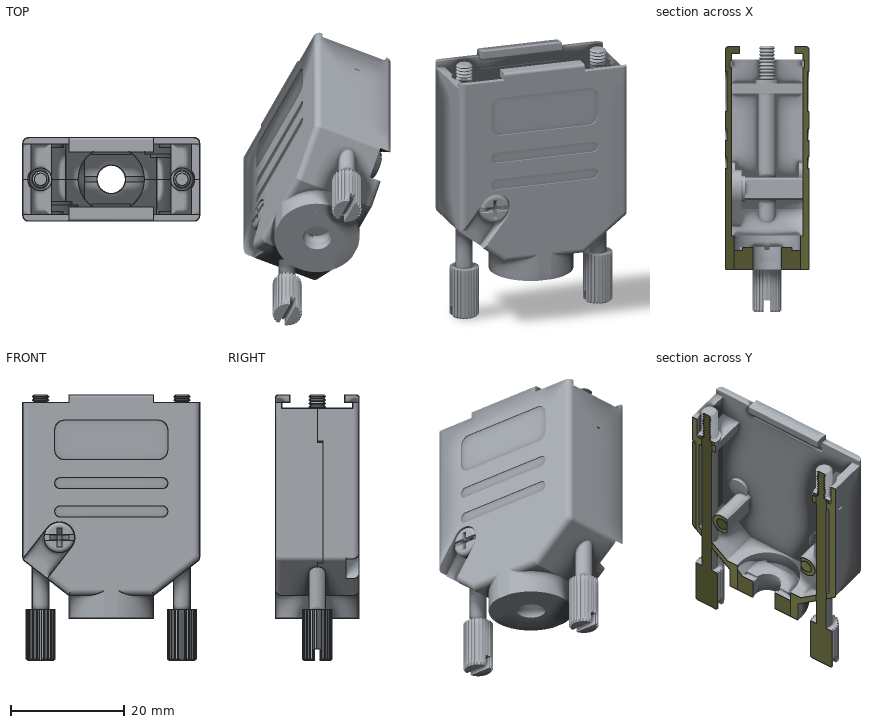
import cadquery as cq
import math


HALF_WIDTH = 15.65
HALF_DEPTH = 7.4
RIM_Z = 38.2
SHOULDER_Z = 10.4
BASE_Z = 4.05
EDGE_RADIUS = 1.05
SHOULDER_RADIUS = 0.9
SIDE_WALL = 1.5
FACE_WALL = 1.15
SLOPE_WALL = 1.2
SIDE_WALL_TOP_Z = 37.15

OUTLET_RADIUS = 7.5
OUTLET_BORE_RADIUS = 5.85

TAB_WIDTH = 2 * OUTLET_RADIUS
TAB_REACH = 2.55
TAB_HEIGHT = 1.3
TAB_EDGE_RADIUS = 0.5
GROOVE_TOP_Z = 37.0
GROOVE_HEIGHT = 1.2
GROOVE_DEPTH = 0.3

PANEL_WIDTH = 20.0
PANEL_DEPTH = 0.25
LABEL_HEIGHT = 7.0
LABEL_RADIUS = 1.75
LABEL_Z = 31.55
GRIP_HEIGHT = 1.95
GRIP_ZS = (23.9, 18.9)

LIP_OFFSET = 1.0
LIP_THICKNESS = 0.8
LIP_TOP_Z = 31.1
LIP_END_GAP = 0.3

THUMB_X = 12.5
SHANK_RADIUS = 1.5
KNOB_RADIUS = 2.6
KNOB_BOTTOM_Z = -7.5
KNOB_TOP_Z = 1.6
KNOB_CHAMFER = 0.3
KNURL_COUNT = 24
KNURL_DEPTH = 0.3
KNURL_WIDTH = 0.3
KNOB_SLOT_WIDTH = 1.05
KNOB_SLOT_DEPTH = 2.05
THREAD_CREST = 1.45
THREAD_CORE = 1.1
THREAD_RIDGES = 10
SHELF_INNER_X = 10.55
SHELF_TOP_Z = 32.9
SHELF_THICKNESS = 1.8
RING_RADIUS = 2.0
RING_THICKNESS = 0.6
RELIEF_RADIUS = 2.25

SCREW_X = -9.17
SCREW_Z = 14.3
HEAD_RADIUS = 2.7
RECESS_RADIUS = 2.75
RECESS_DEPTH = 2.35
RECESS_WALL = 0.55
HEAD_DOME = 0.7
HEAD_SLOT_WIDTH = 1.0
HEAD_SLOT_DEPTH = 0.6
CROSS_DEPTH = 1.5
CROSS_HALF_LENGTH = 1.7
CROSS_WIDTH = 0.85
SCREW_SHANK_RADIUS = 1.1
BOSS_RADIUS = 2.25
COLUMN_RADIUS = 2.0
BOSS_END_Y = -3.9
COLUMN_FLAT_X = 8.03
PAD_X = 10.4
PAD_Z = 17.0
PAD_RADIUS = 1.93
PAD_HEIGHT = 0.6

INSERT_HEIGHT = 4.0
CABLE_RADIUS = 2.5
INSERT_GROOVE_WIDTH = 0.96
INSERT_GROOVE_DEPTH = 0.5
INSERT_RAMP_X = -4.7
INSERT_RAMP_HEIGHT = 1.15
INSERT_STEP_Y = 4.4
INSERT_STEP_HALF_LENGTH = 3.4
INSERT_STEP_DEPTH = 0.5

TOP_Z = RIM_Z + TAB_HEIGHT
INNER_HALF_DEPTH = HALF_DEPTH - FACE_WALL
RECESS_FLOOR_Y = RECESS_DEPTH - HALF_DEPTH
SCREW_END_Y = -RECESS_FLOOR_Y
SLOPE_X = HALF_WIDTH - OUTLET_RADIUS
SLOPE_Z = SHOULDER_Z - BASE_Z
SLOPE_LENGTH = math.hypot(SLOPE_X, SLOPE_Z)
RING_TOP_Z = SHELF_TOP_Z + RING_THICKNESS
THREAD_PITCH = (TOP_Z - RING_TOP_Z) / THREAD_RIDGES


def block(x_range, y_range, z_range):
    """Box given by its limits along X, Y and Z."""
    corners = list(zip(x_range, y_range, z_range))
    size = [high - low for low, high in zip(*corners)]
    return cq.Workplane("XY").box(*size, centered=False).translate(corners[0])


def post(x, radius, z_low, z_high):
    """Round post along Z, on the X axis line."""
    return cq.Workplane("XY").center(x, 0).circle(radius).extrude(z_high - z_low).translate((0, 0, z_low))


def bar(x, z, radius, y_low, y_high):
    """Round bar along Y."""
    return cq.Workplane("XZ", origin=(0, y_low, 0)).center(x, z).circle(radius).extrude(y_low - y_high)


def half_turn(workplane):
    """Copy turned half a turn about Z."""
    return workplane.rotate((0, 0, 0), (0, 0, 1), 180)


def hood_prism(side_inset, slope_inset, base_x, half_depth):
    """House-shaped prism: straight sides, sloped shoulders, and a flat base reaching base_x each way."""
    slope_rise = slope_inset * SLOPE_LENGTH / SLOPE_X
    gradient = SLOPE_Z / SLOPE_X
    side_x = HALF_WIDTH - side_inset
    side_z = SHOULDER_Z + slope_rise - side_inset * gradient
    base_z = BASE_Z + slope_rise + (base_x - OUTLET_RADIUS) * gradient
    outline = [
        (-side_x, RIM_Z),
        (-side_x, side_z),
        (-base_x, base_z),
        (base_x, base_z),
        (side_x, side_z),
        (side_x, RIM_Z),
    ]
    return cq.Workplane("XZ").polyline(outline).close().extrude(half_depth, both=True)


def outer_hood():
    hood = hood_prism(0, 0, OUTLET_RADIUS, HALF_DEPTH)
    for shoulder_x in (-HALF_WIDTH, HALF_WIDTH):
        shoulder_edge = cq.selectors.NearestToPointSelector((shoulder_x, 0, SHOULDER_Z))
        hood = hood.edges(shoulder_edge).fillet(SHOULDER_RADIUS)
    return hood.faces("<Y or >Y").edges("not >Z").fillet(EDGE_RADIUS)


def outlet():
    """Round cable outlet with flats flush with the broad faces."""
    flats = block((-OUTLET_RADIUS, OUTLET_RADIUS), (-HALF_DEPTH, HALF_DEPTH), (0, BASE_Z + EDGE_RADIUS))
    return post(0, OUTLET_RADIUS, 0, BASE_Z + EDGE_RADIUS).intersect(flats)


def rim_tab():
    tab = block((-TAB_WIDTH / 2, TAB_WIDTH / 2), (-HALF_DEPTH, TAB_REACH - HALF_DEPTH), (RIM_Z, TOP_Z))
    return tab.edges("<Y and >Z").fillet(TAB_EDGE_RADIUS)


def screw_channel(radius, y_floor):
    """Round-ended channel from the assembly screw out through the sloped shoulder."""
    length = 2 * HALF_DEPTH
    angle = math.degrees(math.atan2(SLOPE_X, SLOPE_Z))
    run = (
        cq.Workplane("XZ", origin=(0, y_floor, 0))
        .center(-length / 2, 0)
        .rect(length, 2 * radius)
        .extrude(HALF_DEPTH + y_floor)
        .rotate((0, 0, 0), (0, 1, 0), -angle)
        .translate((SCREW_X, 0, SCREW_Z))
    )
    return run.union(bar(SCREW_X, SCREW_Z, radius, -HALF_DEPTH, y_floor))


def screw_column(x):
    """Column round an assembly screw, flat on the side that faces the cable."""
    column = bar(x, SCREW_Z, COLUMN_RADIUS, -HALF_DEPTH, HALF_DEPTH)
    near_x, far_x = sorted((math.copysign(COLUMN_FLAT_X, x), math.copysign(HALF_WIDTH, x)))
    return column.intersect(block((near_x, far_x), (-HALF_DEPTH, HALF_DEPTH), (0, RIM_Z)))


def thumb_shelf(side):
    x_range = sorted((side * SHELF_INNER_X, side * HALF_WIDTH))
    return block(x_range, (-HALF_DEPTH, HALF_DEPTH), (SHELF_TOP_Z - SHELF_THICKNESS, SHELF_TOP_Z))


def wall_pad(side, face):
    """Low round pad on the inside of a broad face, above the screw column."""
    y_low, y_high = sorted((face * HALF_DEPTH, face * (INNER_HALF_DEPTH - PAD_HEIGHT)))
    return bar(side * PAD_X, PAD_Z, PAD_RADIUS, y_low, y_high)


def inner_supports():
    """Everything solid inside the cavity, before trimming to the hood's outside."""
    supports = screw_channel(RECESS_RADIUS + RECESS_WALL, RECESS_FLOOR_Y + RECESS_WALL)
    supports = supports.union(bar(SCREW_X, SCREW_Z, BOSS_RADIUS, -HALF_DEPTH, BOSS_END_Y))
    for side in (-1, 1):
        supports = supports.union(screw_column(side * abs(SCREW_X)))
        supports = supports.union(thumb_shelf(side))
        supports = supports.union(wall_pad(side, -1)).union(wall_pad(side, 1))
    return supports


def face_panels():
    """Shallow label panel and grip slots in the -Y face."""
    face = cq.Workplane("XZ", origin=(0, -HALF_DEPTH, 0))
    label = face.center(0, LABEL_Z).rect(PANEL_WIDTH, LABEL_HEIGHT).extrude(-PANEL_DEPTH)
    panels = label.edges("|Y").fillet(LABEL_RADIUS)
    for z in GRIP_ZS:
        panels = panels.union(face.center(0, z).slot2D(PANEL_WIDTH, GRIP_HEIGHT).extrude(-PANEL_DEPTH))
    return panels


def front_region():
    """Space that belongs to the -Y shell, with the stepped side-wall lips."""
    lip_inner_x = HALF_WIDTH - LIP_THICKNESS
    region = block((-HALF_WIDTH, HALF_WIDTH), (-HALF_DEPTH, 0), (0, TOP_Z))
    lip = block((lip_inner_x, HALF_WIDTH), (0, LIP_OFFSET), (BASE_Z, LIP_TOP_Z))
    notch = block((-HALF_WIDTH, -lip_inner_x), (-LIP_OFFSET, 0), (BASE_Z, LIP_TOP_Z + LIP_END_GAP))
    return region.cut(notch).union(lip)


def make_shell():
    outside = outer_hood()
    cavity = hood_prism(SIDE_WALL, SLOPE_WALL, COLUMN_FLAT_X, INNER_HALF_DEPTH)
    shell = outside.cut(cavity).union(outside.intersect(inner_supports()))
    shell = shell.union(outlet()).union(rim_tab())
    shell = shell.cut(post(0, OUTLET_BORE_RADIUS, 0, SHOULDER_Z))
    shell = shell.cut(screw_channel(RECESS_RADIUS, RECESS_FLOOR_Y)).cut(face_panels())
    shell = shell.cut(
        block(
            (-TAB_WIDTH / 2, TAB_WIDTH / 2),
            (-INNER_HALF_DEPTH - GROOVE_DEPTH, 0),
            (GROOVE_TOP_Z - GROOVE_HEIGHT, GROOVE_TOP_Z),
        )
    )
    shell = shell.cut(
        block((-HALF_WIDTH, HALF_WIDTH), (-INNER_HALF_DEPTH, INNER_HALF_DEPTH), (SIDE_WALL_TOP_Z, RIM_Z))
    )
    for side in (-1, 1):
        shell = shell.cut(post(side * THUMB_X, SHANK_RADIUS, 0, SHELF_TOP_Z))
        shell = shell.cut(post(side * THUMB_X, RELIEF_RADIUS, SHELF_TOP_Z, RIM_Z))
        shell = shell.cut(bar(side * SCREW_X, SCREW_Z, SCREW_SHANK_RADIUS, RECESS_FLOOR_Y, SCREW_END_Y))
    return shell.intersect(front_region())


def knurled_knob():
    knob = post(0, KNOB_RADIUS, KNOB_BOTTOM_Z, KNOB_TOP_Z).faces("<Z").chamfer(KNOB_CHAMFER)
    grooves = (
        cq.Workplane("XY", origin=(0, 0, KNOB_BOTTOM_Z))
        .polarArray(KNOB_RADIUS, 0, 360, KNURL_COUNT)
        .rect(2 * KNURL_DEPTH, KNURL_WIDTH)
        .extrude(KNOB_TOP_Z - KNOB_BOTTOM_Z)
    )
    slot_half_width = KNOB_SLOT_WIDTH / 2
    slot = block(
        (-KNOB_RADIUS, KNOB_RADIUS),
        (-slot_half_width, slot_half_width),
        (KNOB_BOTTOM_Z, KNOB_BOTTOM_Z + KNOB_SLOT_DEPTH),
    )
    return knob.cut(grooves).cut(slot)


def threaded_end():
    """Thread as a stack of V-shaped ridges on the core."""
    profile = cq.Workplane("XZ").moveTo(0, RING_TOP_Z).lineTo(THREAD_CORE, RING_TOP_Z)
    for ridge in range(THREAD_RIDGES):
        ridge_z = RING_TOP_Z + ridge * THREAD_PITCH
        profile = profile.lineTo(THREAD_CREST, ridge_z + THREAD_PITCH / 2)
        profile = profile.lineTo(THREAD_CORE, ridge_z + THREAD_PITCH)
    return profile.lineTo(0, TOP_Z).close().revolve(360, (0, 0), (0, 1))


def make_thumbscrew():
    shank = post(0, SHANK_RADIUS, KNOB_TOP_Z, RING_TOP_Z)
    return knurled_knob().union(shank).union(threaded_end())


def make_retaining_ring():
    ring = post(0, RING_RADIUS, SHELF_TOP_Z, RING_TOP_Z)
    return ring.cut(post(0, SHANK_RADIUS, SHELF_TOP_Z, RING_TOP_Z))


def cross_recess():
    """Two crossed arms, straight to the slot floor and then tapering to a square bottom."""
    bottom_half = CROSS_WIDTH / 2
    arm = (
        cq.Workplane("XY")
        .polyline(
            [
                (-CROSS_HALF_LENGTH, 0),
                (CROSS_HALF_LENGTH, 0),
                (CROSS_HALF_LENGTH, HEAD_SLOT_DEPTH),
                (bottom_half, CROSS_DEPTH),
                (-bottom_half, CROSS_DEPTH),
                (-CROSS_HALF_LENGTH, HEAD_SLOT_DEPTH),
            ]
        )
        .close()
        .extrude(bottom_half, both=True)
    )
    arms = arm.union(arm.rotate((0, 0, 0), (0, 1, 0), 90))
    return arms.translate((SCREW_X, -HALF_DEPTH, SCREW_Z))


def make_assembly_screw():
    """Domed screw with a full-width slot and a deeper cross recess, head towards -Y."""
    head = bar(SCREW_X, SCREW_Z, HEAD_RADIUS, -HALF_DEPTH, RECESS_FLOOR_Y)
    head = head.faces("<Y").edges().fillet(HEAD_DOME)
    screw = head.union(bar(SCREW_X, SCREW_Z, SCREW_SHANK_RADIUS, RECESS_FLOOR_Y, SCREW_END_Y))
    face = cq.Workplane("XZ", origin=(SCREW_X, -HALF_DEPTH, SCREW_Z))
    slot = face.rect(2 * HEAD_RADIUS, HEAD_SLOT_WIDTH).extrude(-HEAD_SLOT_DEPTH)
    return screw.cut(slot).cut(cross_recess())


def make_cable_insert():
    """Disc in the outlet bore with a cable hole, a shallow groove, a ramp and two edge steps."""
    insert = post(0, OUTLET_BORE_RADIUS, 0, INSERT_HEIGHT).cut(post(0, CABLE_RADIUS, 0, INSERT_HEIGHT))
    ramp = (
        cq.Workplane("XZ")
        .moveTo(INSERT_RAMP_X, INSERT_HEIGHT)
        .lineTo(-OUTLET_BORE_RADIUS, INSERT_HEIGHT)
        .lineTo(-OUTLET_BORE_RADIUS, INSERT_HEIGHT + INSERT_RAMP_HEIGHT)
        .close()
        .extrude(OUTLET_BORE_RADIUS, both=True)
        .intersect(post(0, OUTLET_BORE_RADIUS, 0, SHOULDER_Z))
    )
    groove_half_width = INSERT_GROOVE_WIDTH / 2
    groove = block(
        (INSERT_RAMP_X, OUTLET_BORE_RADIUS),
        (-groove_half_width, groove_half_width),
        (INSERT_HEIGHT - INSERT_GROOVE_DEPTH, INSERT_HEIGHT),
    )
    insert = insert.cut(groove).union(ramp)
    step = block(
        (-INSERT_STEP_HALF_LENGTH, INSERT_STEP_HALF_LENGTH),
        (-OUTLET_BORE_RADIUS, -INSERT_STEP_Y),
        (INSERT_HEIGHT - INSERT_STEP_DEPTH, INSERT_HEIGHT),
    )
    return insert.cut(step).cut(half_turn(step))


front_shell = make_shell()
back_shell = half_turn(front_shell)
front_screw = make_assembly_screw()
back_screw = half_turn(front_screw)
cable_insert = make_cable_insert()
bodies = [part.solids().val() for part in (front_shell, back_shell, front_screw, back_screw, cable_insert)]

thumbscrew = make_thumbscrew()
retaining_ring = make_retaining_ring()
for thumb_x in (-THUMB_X, THUMB_X):
    bodies.append(thumbscrew.translate((thumb_x, 0, 0)).solids().val())
    bodies.append(retaining_ring.translate((thumb_x, 0, 0)).solids().val())

result = cq.Compound.makeCompound(bodies)